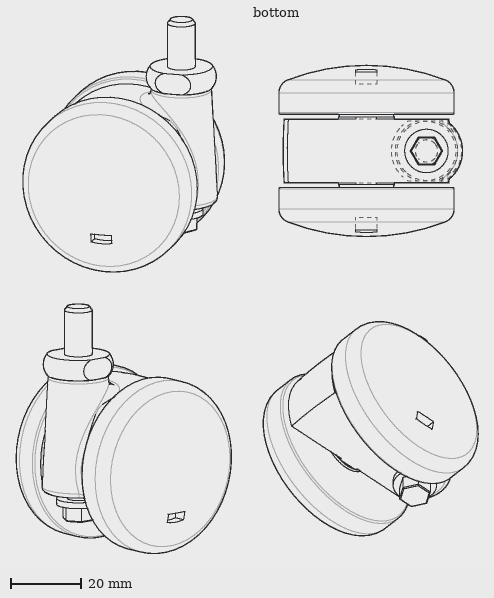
import cadquery as cq
import math


wheel_radius = 25.0
wheel_inner_face = 10.4
wheel_outer_face = 24.415
dome_radius = 62.6
rim_radius = 4.0
inner_edge_radius = 0.5
cap_radius = 15.15
notch_width = 6.1
notch_top = -12.35
notch_floor = 19.0

hub_radius = 8.0
hub_waist_radius = 7.75
hub_boss_height = 0.5

housing_half_width = 9.1
drum_edge_radius = 23.45
drum_crown = 0.3
housing_bottom = -7.45
socket_bottom_radius = 10.4
socket_top_radius = 8.65
socket_shoulder_z = 25.7
socket_rim_radius = 8.4
socket_blend_radius = 2.5
socket_foot_radius = 1.4

stem_x = 17.1
stud_radius = 4.0
stud_top = 46.5
stud_chamfer_height = 1.1
stud_chamfer_depth = 0.8
flange_bottom = 26.6
flange_top = 32.6
flange_face_radius = 8.9
flange_radius = 10.0
flange_flats = 17.0
journal_radius = 3.15
washer_radius = 6.2
washer_top = -9.45
washer_bottom = -11.15
hex_flats = 8.0
hex_bottom = -15.6
hex_chamfer = 0.3


def make_wheel(side):
    """One wheel with its hub neck; side is -1 or +1 along Y."""
    boss_face = housing_half_width + hub_boss_height
    neck_middle = (boss_face + wheel_inner_face) / 2
    rim_centre = wheel_radius - rim_radius
    dome_centre = wheel_outer_face - dome_radius
    lean = math.asin(rim_centre / (dome_radius - rim_radius))
    dome_edge = dome_radius * math.sin(lean)
    dome_edge_y = dome_centre + dome_radius * math.cos(lean)
    tread_end = dome_centre + (dome_radius - rim_radius) * math.cos(lean)
    rim_mid_angle = (math.pi / 2 - lean) / 2
    rim_mid = (
        rim_centre + rim_radius * math.cos(rim_mid_angle),
        tread_end + rim_radius * math.sin(rim_mid_angle),
    )
    dome_mid = (
        dome_radius * math.sin(lean / 2),
        dome_centre + dome_radius * math.cos(lean / 2),
    )
    wheel = (
        cq.Workplane("XY")
        .moveTo(0, boss_face)
        .lineTo(hub_radius, boss_face)
        .threePointArc((hub_waist_radius, neck_middle), (hub_radius, wheel_inner_face))
        .lineTo(wheel_radius - inner_edge_radius, wheel_inner_face)
        .radiusArc((wheel_radius, wheel_inner_face + inner_edge_radius), -inner_edge_radius)
        .lineTo(wheel_radius, tread_end)
        .threePointArc(rim_mid, (dome_edge, dome_edge_y))
        .threePointArc(dome_mid, (0, wheel_outer_face))
        .close()
        .revolve(360, (0, 0, 0), (0, 1, 0))
    )
    notch_depth = wheel_outer_face - notch_floor
    notch_limit = cq.Workplane("XZ", origin=(0, wheel_outer_face, 0)).circle(cap_radius).extrude(notch_depth)
    notch = (
        cq.Workplane("XY")
        .box(notch_width, notch_depth, cap_radius, centered=(True, False, False))
        .translate((0, notch_floor, notch_top - cap_radius))
        .intersect(notch_limit)
    )
    wheel = wheel.cut(notch)
    if side < 0:
        wheel = wheel.mirror("XZ")
    return wheel


def make_housing():
    """Crowned drum and tapered stem socket, trimmed flat at the sides and underneath."""
    crown_radius = drum_edge_radius + drum_crown
    wide = 2 * housing_half_width
    wide_edge_radius = crown_radius - drum_crown * (wide / housing_half_width) ** 2
    drum = (
        cq.Workplane("XY")
        .moveTo(0, -wide)
        .lineTo(wide_edge_radius, -wide)
        .threePointArc((crown_radius, 0), (wide_edge_radius, wide))
        .lineTo(0, wide)
        .close()
        .revolve(360, (0, 0, 0), (0, 1, 0))
    )
    trim_size = 4 * wheel_radius
    below = (
        cq.Workplane("XY", origin=(0, 0, housing_bottom))
        .rect(trim_size, trim_size)
        .extrude(-trim_size)
    )
    drum = drum.cut(below)
    socket = (
        cq.Workplane("XZ")
        .moveTo(0, housing_bottom)
        .lineTo(socket_bottom_radius, housing_bottom)
        .lineTo(socket_top_radius, socket_shoulder_z)
        .lineTo(socket_rim_radius, flange_bottom)
        .lineTo(0, flange_bottom)
        .close()
        .revolve(360, (0, 0, 0), (0, 1, 0))
        .translate((stem_x, 0, 0))
    )
    housing = drum.union(socket)
    socket_joint = cq.selectors.BoxSelector(
        (0, -wide, 0), (wheel_radius, wide, crown_radius), boundingbox=False
    )
    housing = housing.edges(socket_joint).edges("not %CIRCLE").fillet(socket_blend_radius)
    slab = cq.Workplane("XY").box(trim_size, 2 * housing_half_width, trim_size)
    housing = housing.intersect(slab)
    foot_point = (stem_x + socket_bottom_radius, 0, housing_bottom)
    foot_edge = cq.selectors.NearestToPointSelector(foot_point)
    housing = housing.faces("<Z").edges(foot_edge).fillet(socket_foot_radius)
    bosses = (
        cq.Workplane("XZ")
        .circle(hub_radius)
        .extrude(housing_half_width + hub_boss_height, both=True)
        .cut(below)
    )
    bore = (
        cq.Workplane("XY", origin=(stem_x, 0, housing_bottom))
        .circle(journal_radius)
        .extrude(flange_bottom - housing_bottom)
    )
    return housing.union(bosses).cut(bore)


def make_stem():
    """Plain stud, flange with two spanner flats, journal, washer collar and hexagon."""
    flange_middle = (flange_bottom + flange_top) / 2
    stem = (
        cq.Workplane("XZ")
        .moveTo(0, washer_bottom)
        .lineTo(washer_radius, washer_bottom)
        .lineTo(washer_radius, washer_top)
        .lineTo(journal_radius, washer_top)
        .lineTo(journal_radius, flange_bottom)
        .lineTo(flange_face_radius, flange_bottom)
        .threePointArc((flange_radius, flange_middle), (flange_face_radius, flange_top))
        .lineTo(stud_radius, flange_top)
        .lineTo(stud_radius, stud_top - stud_chamfer_height)
        .lineTo(stud_radius - stud_chamfer_depth, stud_top)
        .lineTo(0, stud_top)
        .close()
        .revolve(360, (0, 0, 0), (0, 1, 0))
    )
    flats = cq.Workplane("XY").box(2 * flange_radius, flange_flats, 4 * stud_top)
    hexagon = (
        cq.Workplane("XY", origin=(0, 0, hex_bottom))
        .polygon(6, hex_flats / math.cos(math.pi / 6))
        .extrude(washer_bottom - hex_bottom)
        .faces("<Z")
        .chamfer(hex_chamfer)
    )
    return stem.intersect(flats).union(hexagon).translate((stem_x, 0, 0))


housing = make_housing()
wheels = [make_wheel(side) for side in (-1, 1)]
stem = make_stem()

result = cq.Compound.makeCompound([housing.val(), *[wheel.val() for wheel in wheels], stem.val()])